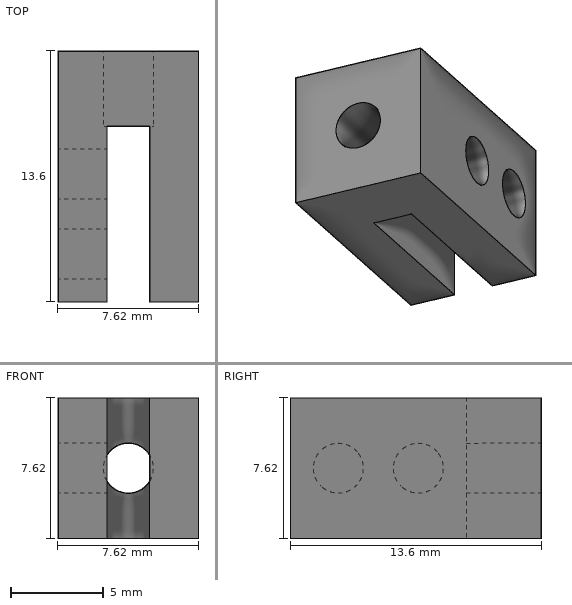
import cadquery as cq

length = 13.59
side = 7.62

slot_width = 2.3
slot_depth = 9.53

hole_diameter = 2.7
first_hole_from_tip = 2.6
hole_spacing = 4.34

tip_y = -length / 2
slot_end_y = tip_y + slot_depth
arm_thickness = (side - slot_width) / 2
web_thickness = length - slot_depth


def make_slot():
    """Slot that separates the two arms."""
    return cq.Workplane("XY").box(slot_width, slot_depth, side).translate((0, tip_y + slot_depth / 2, 0))


def make_web_hole():
    """Lengthwise hole from the end of the slot through the closed end."""
    return cq.Workplane("XZ", origin=(0, slot_end_y, 0)).circle(hole_diameter / 2).extrude(-web_thickness)


def make_arm_hole(distance_from_tip):
    """Crosswise hole through the -X arm only."""
    start = (-side / 2, tip_y + distance_from_tip, 0)
    return cq.Workplane("YZ", origin=start).circle(hole_diameter / 2).extrude(arm_thickness)


result = cq.Workplane("XY").box(side, length, side)
result = result.cut(make_slot())
result = result.cut(make_web_hole())
for index in range(2):
    result = result.cut(make_arm_hole(first_hole_from_tip + index * hole_spacing))